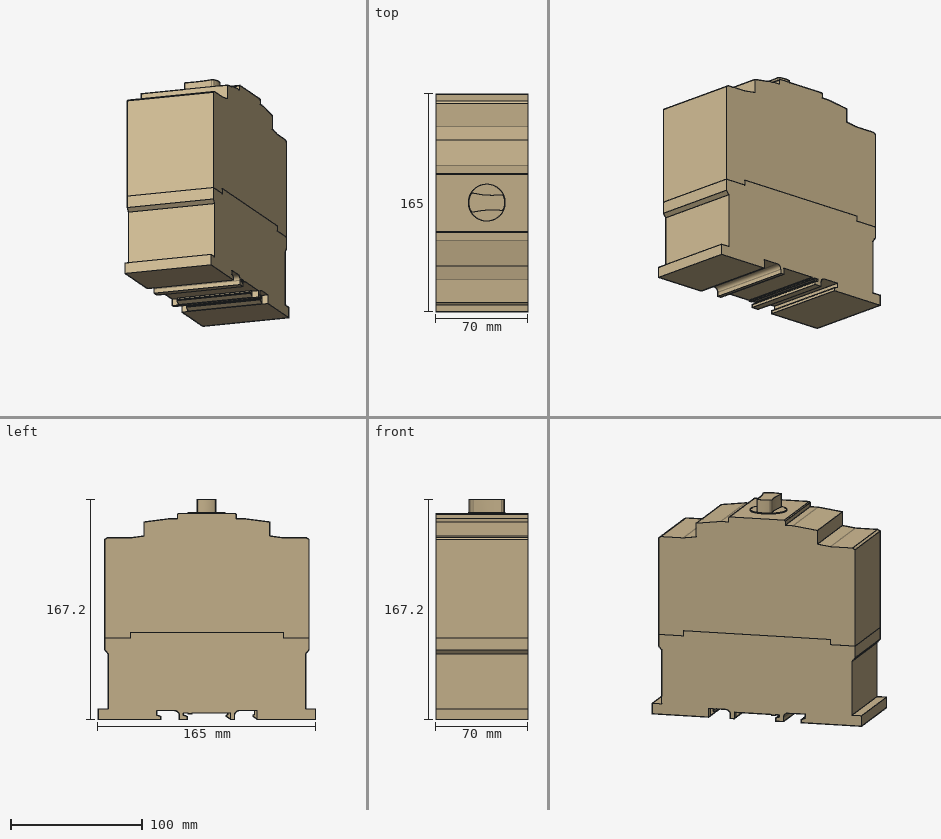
import cadquery as cq
import math


width = 70.0
total_height = 167.16
base_length = 165.0

flange_height = 8.2
waist_half = 75.0
waist_top = 50.0
waist_bevel_height = 3.0
body_half = 77.5
split_height = 62.0
tongue_half = 58.0
tongue_top = 66.0

slot_wall = 38.0
slot_depth = 6.8
slot_corner_radius = 3.5
leg_outer = 21.0
middle_wall = 17.8
middle_depth = 5.0
hook_reach = 3.0
hook_root_height = 3.5
hook_tip_height = 2.5
bead_start = 14.2
bead_end = 11.4
bead_drop = 0.6

latch_width = 60.0
latch_stem = 2.0
latch_reach = 3.2
latch_shoulder_height = 3.9
latch_nose_top = 3.3
latch_nose_bottom = 2.6
latch_foot_height = 0.3

corner_run = 2.0
corner_drop = 1.2
shoulder_height = 138.0
ramp_start = 58.0
step_half = 47.8
step_foot_height = 139.4
step_top_height = 150.0
ledge_end = 28.5
ledge_height = 152.5
crown_half = 22.4
crown_bevel = 0.8

knob_x = 3.7
knob_y = 0.3
knob_disc_diameter = 28.0
knob_disc_height = 0.7
knob_height = 10.0
grip_radius = 13.6
hollow_radius = 65.0
hollow_offset_x = 4.2
grip_half_thickness = 5.5
grip_corner_radius = 1.5

disc_top = total_height - knob_height
crown_height = disc_top - knob_disc_height


def extrude_along_x(profile, length):
    """Extrude a YZ profile symmetrically about X = 0."""
    return profile.extrude(length / 2, both=True)


def mirrored_outline(half_points):
    """Full outline from points on the +Y half, listed from the first height to the last."""
    return half_points + [(-y, z) for y, z in reversed(half_points)]


def deep_slot(side):
    """Deep rail slot on the +Y (side = 1) or -Y (side = -1) half, rounded beside its leg."""
    arc_middle = slot_corner_radius * (1 - math.sqrt(0.5))
    profile = (
        cq.Workplane("YZ")
        .moveTo(side * slot_wall, 0)
        .lineTo(side * slot_wall, slot_depth)
        .lineTo(side * (leg_outer + slot_corner_radius), slot_depth)
        .threePointArc(
            (side * (leg_outer + arc_middle), slot_depth - arc_middle),
            (side * leg_outer, slot_depth - slot_corner_radius),
        )
        .lineTo(side * leg_outer, 0)
        .close()
    )
    return extrude_along_x(profile, width)


def middle_slot():
    profile = (
        cq.Workplane("YZ")
        .polyline([
            (middle_wall, 0),
            (middle_wall, middle_depth),
            (bead_start, middle_depth),
            (bead_start, middle_depth - bead_drop),
            (bead_end, middle_depth - bead_drop),
            (bead_end, middle_depth),
            (-middle_wall, middle_depth),
            (-middle_wall, 0),
        ])
        .close()
    )
    return extrude_along_x(profile, width)


def fixed_hook(wall):
    """Rail hook that overhangs a slot from the wall at Y = wall."""
    profile = (
        cq.Workplane("YZ")
        .polyline([
            (wall, 0),
            (wall, hook_root_height),
            (wall - hook_reach, hook_tip_height),
            (wall - hook_reach, 0),
        ])
        .close()
    )
    return extrude_along_x(profile, width)


def make_base():
    outline = mirrored_outline([
        (base_length / 2, 0),
        (base_length / 2, flange_height),
        (waist_half, flange_height),
        (waist_half, waist_top),
        (body_half, waist_top + waist_bevel_height),
        (body_half, split_height),
        (tongue_half, split_height),
        (tongue_half, tongue_top),
    ])
    base = extrude_along_x(cq.Workplane("YZ").polyline(outline).close(), width)
    base = base.cut(middle_slot())
    for side in (1, -1):
        base = base.cut(deep_slot(side))
    for wall in (slot_wall, middle_wall):
        base = base.union(fixed_hook(wall))
    return base


def make_latch(wall, slot_roof):
    """Spring latch against the -Y wall of a slot, hanging from the slot roof."""
    profile = (
        cq.Workplane("YZ")
        .polyline([
            (-wall, latch_foot_height),
            (-wall, slot_roof),
            (-wall + latch_stem, slot_roof),
            (-wall + latch_stem, latch_shoulder_height),
            (-wall + latch_reach, latch_nose_top),
            (-wall + latch_reach, latch_nose_bottom),
        ])
        .close()
    )
    return extrude_along_x(profile, latch_width)


def make_housing():
    outline = mirrored_outline([
        (tongue_half, tongue_top),
        (tongue_half, split_height),
        (body_half, split_height),
        (body_half, shoulder_height - corner_drop),
        (body_half - corner_run, shoulder_height),
        (ramp_start, shoulder_height),
        (step_half, step_foot_height),
        (step_half, step_top_height),
        (ledge_end, ledge_height),
        (crown_half, ledge_height),
        (crown_half, crown_height - crown_bevel),
        (crown_half - crown_bevel, crown_height),
    ])
    return extrude_along_x(cq.Workplane("YZ").polyline(outline).close(), width)


def make_knob_disc():
    return (
        cq.Workplane("XY", origin=(knob_x, knob_y, crown_height))
        .circle(knob_disc_diameter / 2)
        .extrude(knob_disc_height)
    )


def make_knob_grip():
    """Round grip hollowed on both long sides, with rounded vertical edges."""
    plane = cq.Workplane("XY", origin=(knob_x, knob_y, disc_top))
    hollow_y = grip_half_thickness + hollow_radius
    hollows = (
        plane.pushPoints([(hollow_offset_x, hollow_y), (hollow_offset_x, -hollow_y)])
        .circle(hollow_radius)
        .extrude(knob_height)
    )
    grip = plane.circle(grip_radius).extrude(knob_height).cut(hollows)
    return grip.edges("|Z").fillet(grip_corner_radius)


base = make_base()
housing = make_housing()
knob_disc = make_knob_disc()
knob_grip = make_knob_grip()
latches = [
    make_latch(wall, roof)
    for wall, roof in ((slot_wall, slot_depth), (middle_wall, middle_depth))
]

result = cq.Compound.makeCompound([
    base.val(),
    housing.val(),
    knob_disc.val(),
    knob_grip.val(),
    *[latch.val() for latch in latches],
])